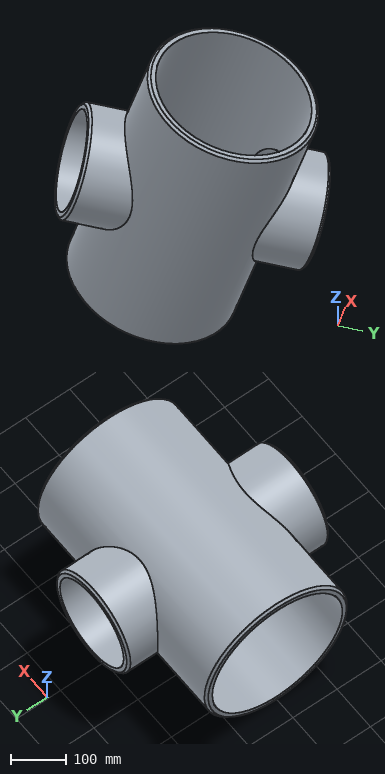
import cadquery as cq

run_length = 508.0
run_outer_diameter = 323.85
run_wall = 14.275
branch_span = 457.2
branch_outer_diameter = 219.075
branch_wall = 14.275

bevel_along_axis = 5.0
bevel_radial = 5.0


def bevelled_bar(plane, length, diameter):
    """Solid bar centred on the origin, with both end rims bevelled."""
    half_length = length / 2
    radius = diameter / 2
    shoulder = half_length - bevel_along_axis
    tip_radius = radius - bevel_radial
    return (
        cq.Workplane(plane)
        .moveTo(0, -half_length)
        .lineTo(tip_radius, -half_length)
        .lineTo(radius, -shoulder)
        .lineTo(radius, shoulder)
        .lineTo(tip_radius, half_length)
        .lineTo(0, half_length)
        .close()
        .revolve(360, (0, 0, 0), (0, 1, 0))
    )


def bore(plane, length, diameter):
    """Straight through-bore centred on the origin."""
    return cq.Workplane(plane).circle(diameter / 2).extrude(length / 2, both=True)


run_profile_plane = cq.Plane(origin=(0, 0, 0), xDir=(0, 0, 1), normal=(0, 1, 0))
branch_profile_plane = cq.Plane(origin=(0, 0, 0), xDir=(0, 0, 1), normal=(-1, 0, 0))

run_bar = bevelled_bar(run_profile_plane, run_length, run_outer_diameter)
branch_bar = bevelled_bar(branch_profile_plane, branch_span, branch_outer_diameter)

run_bore = bore("YZ", run_length, run_outer_diameter - 2 * run_wall)
branch_bore = bore("XZ", branch_span, branch_outer_diameter - 2 * branch_wall)

result = run_bar.union(branch_bar).cut(run_bore).cut(branch_bore)